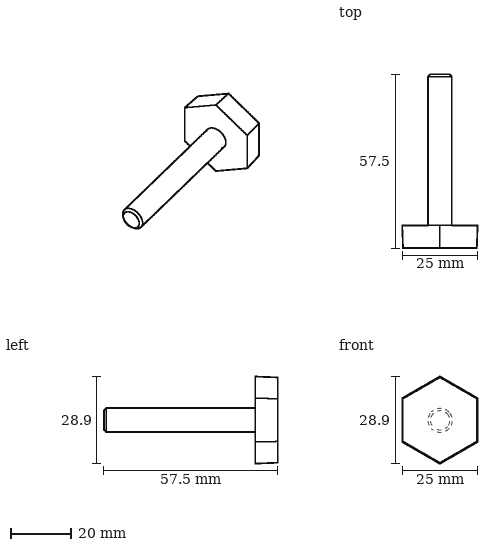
import cadquery as cq
import math

total_length = 57.5
head_height = 7.5
shank_diameter = 8.0
tip_chamfer = 0.8

seat_across_flats = 25.0
head_draft_angle = 2.0


def hexagonal_head():
    """Drafted hexagon from the seat at Y = 0 to the face at -Y, corners at +Z and -Z."""
    across_corners = seat_across_flats / math.cos(math.radians(30))
    return (
        cq.Workplane("XZ")
        .transformed(rotate=(0, 0, 90))
        .polygon(6, across_corners)
        .extrude(head_height, taper=head_draft_angle)
    )


def shank():
    """Round shank along +Y with a chamfered tip."""
    shank_length = total_length - head_height
    return (
        cq.Workplane("XZ")
        .circle(shank_diameter / 2)
        .extrude(-shank_length)
        .faces(">Y")
        .chamfer(tip_chamfer)
    )


result = hexagonal_head().union(shank())